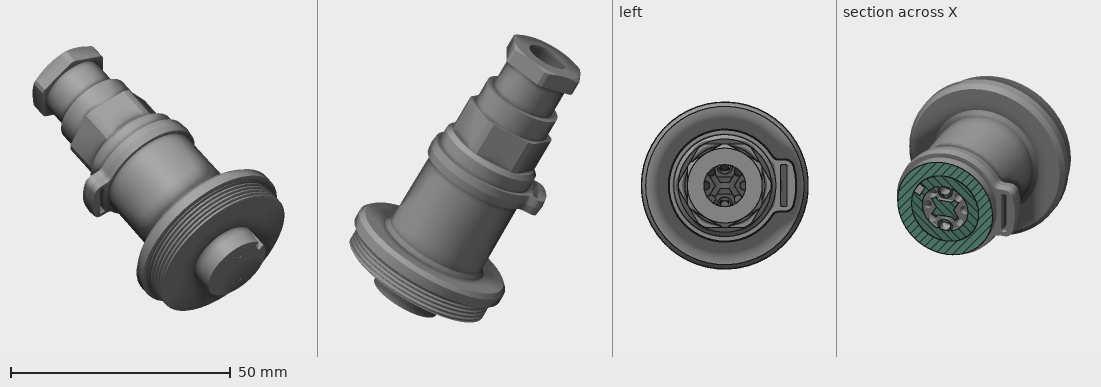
import cadquery as cq
import math


NUT_END = 3.9
NECK_END = 11.75
COLLAR_END = 17.2
HEX_END = 25.45
TAPER_START = 33.5
FLARE_START = 52.2
FLANGE_START = 53.2
FLANGE_END = 56.45
THREAD_END = 61.7

CABLE_BORE_R = 4.75
NUT_FLATS = 17.0
NUT_R = 9.5
NUT_CHAMFER = 0.45
NECK_R = 7.5
COLLAR_R = 9.1
HEX_FLATS = 19.0
HEX_R = 10.5
BODY_R = 11.6
BODY_END_R = 11.8
FLANGE_R = 19.0
EDGE_CHAMFER = 1.0
BODY_EDGE = HEX_END + EDGE_CHAMFER

THREAD_R = 17.5
THREAD_PITCH = 1.0
THREAD_DEPTH = 0.6
THREAD_RIDGE = 0.8
THREAD_CREST = 0.2
THREAD_SINK = 0.1
THREAD_OVERRUN = 0.95
ROOT_R = THREAD_R - THREAD_DEPTH

INSERT_R = 8.1
INSERT_START = BODY_EDGE
INSERT_END = 66.88
KEY_WIDTH = 2.5
KEY_FLOOR = 6.5
KEY_ANGLE = 31.0
CONTACTS = 8
CONTACT_PITCH_R = 4.45
CONTACT_R = 1.0
CONTACT_DEPTH = 4.0
CONTACT_CONE_R = 3.3
SLIT_R = 1.3
SLIT_WEB = 1.5
RIM_R = 1.8
POCKET_DEPTH = 1.5
STEP_DEPTH = 0.75
POCKET_R = 5.5
ARM_ANGLE = 58.0
END_POCKET_Z = 0.7
END_POCKET_HALF = 1.0
STEP_Z = 1.95
SIDE_POCKET_Y = 2.15

RING_START = 29.7
RING_END = TAPER_START
RING_R = 12.85
DRAFT = 0.22
TAB_R = 16.35
TAB_HALF = 6.05
TAB_ROOT_FILLET = 1.5
TAB_CORNER_FILLET = 2.2
SLOT_Y = -13.4
SLOT_WIDTH = 1.4
SLOT_LENGTH = 9.5
SLOT_FILLET = 0.3


def plane_at(x):
    """Plane across the axis: local x is +Y, local y is +Z, normal is +X."""
    return cq.Workplane("YZ", origin=(x, 0, 0))


def disc(x_start, x_end, radius):
    return plane_at(x_start).circle(radius).extrude(x_end - x_start)


def revolve_about_x(points):
    return cq.Workplane("XY").polyline(points).close().revolve(360, (0, 0, 0), (1, 0, 0))


def hexagon(x_start, x_end, across_flats, turn):
    """Hexagon with corners on Y, turned about the axis by `turn` degrees."""
    across_corners = across_flats / math.cos(math.pi / 6)
    solid = plane_at(x_start).polygon(6, across_corners).extrude(x_end - x_start)
    return solid.rotate((0, 0, 0), (1, 0, 0), turn)


def gland_nut():
    """Hexagon with flats on +/-Y, its corners rounded and its front edge bevelled."""
    rounding = revolve_about_x([
        (0, 0),
        (0, NUT_FLATS / 2),
        (NUT_CHAMFER, NUT_R),
        (NUT_END, NUT_R),
        (NUT_END, 0),
    ])
    return hexagon(0, NUT_END, NUT_FLATS, 30).intersect(rounding)


def gland_hex():
    """Hexagon with flats on +/-Z and rounded corners."""
    rounding = disc(COLLAR_END, HEX_END, HEX_R)
    return hexagon(COLLAR_END, HEX_END, HEX_FLATS, 0).intersect(rounding)


def body_and_flange():
    return revolve_about_x([
        (HEX_END, 0),
        (HEX_END, BODY_R - EDGE_CHAMFER),
        (BODY_EDGE, BODY_R),
        (TAPER_START, BODY_R),
        (FLARE_START, BODY_END_R),
        (FLANGE_START, BODY_END_R + FLANGE_START - FLARE_START),
        (FLANGE_START, FLANGE_R - EDGE_CHAMFER),
        (FLANGE_START + EDGE_CHAMFER, FLANGE_R),
        (FLANGE_END, FLANGE_R),
        (FLANGE_END, 0),
    ])


def thread():
    """Core with a right-handed helical ridge, cut square at both ends."""
    start = FLANGE_END - THREAD_OVERRUN
    height = THREAD_END + THREAD_OVERRUN - start
    base_r = ROOT_R - THREAD_SINK
    path = cq.Wire.makeHelix(THREAD_PITCH, height, base_r)
    ridge = (
        cq.Workplane("XZ")
        .moveTo(base_r, -THREAD_RIDGE / 2)
        .lineTo(THREAD_R, -THREAD_CREST / 2)
        .lineTo(THREAD_R, THREAD_CREST / 2)
        .lineTo(base_r, THREAD_RIDGE / 2)
        .close()
        .sweep(cq.Workplane(path), isFrenet=True)
    )
    core = (
        cq.Workplane("XY")
        .workplane(offset=-THREAD_OVERRUN)
        .circle(ROOT_R)
        .extrude(height + 2 * THREAD_OVERRUN)
    )
    span = (
        cq.Workplane("XY")
        .workplane(offset=THREAD_OVERRUN)
        .circle(FLANGE_R)
        .extrude(THREAD_END - FLANGE_END)
    )
    threaded = core.union(ridge).intersect(span)
    threaded = threaded.rotate((0, 0, 0), (0, 1, 0), 90)
    threaded = threaded.rotate((0, 0, 0), (1, 0, 0), 180)
    return threaded.translate((start, 0, 0))


def make_housing():
    solid = (
        body_and_flange()
        .union(gland_hex())
        .union(disc(NECK_END, COLLAR_END, COLLAR_R))
        .union(disc(NUT_END, NECK_END, NECK_R))
        .union(gland_nut())
        .union(thread())
    )
    solid = solid.cut(disc(0, INSERT_START, CABLE_BORE_R))
    return solid.cut(disc(INSERT_START, THREAD_END, INSERT_R))


def contact_recesses():
    """Ring of round recesses whose floors share one cone about the axis."""
    contacts = (
        plane_at(INSERT_START)
        .polarArray(CONTACT_PITCH_R, 0, 360, CONTACTS)
        .circle(CONTACT_R)
        .extrude(CONTACT_DEPTH)
    )
    cone = revolve_about_x([
        (INSERT_START, 0),
        (INSERT_START, CONTACT_PITCH_R + CONTACT_R),
        (INSERT_START + POCKET_DEPTH, CONTACT_PITCH_R + CONTACT_R),
        (INSERT_START + CONTACT_DEPTH, CONTACT_CONE_R),
        (INSERT_START + CONTACT_DEPTH, 0),
    ])
    return contacts.intersect(cone)


def end_pocket():
    """Stepped pocket on the +Z side, with a raised rim round its contact."""
    outer_half = END_POCKET_HALF + (POCKET_R - END_POCKET_Z) / math.tan(math.radians(ARM_ANGLE))
    outline = [
        (-END_POCKET_HALF, END_POCKET_Z),
        (END_POCKET_HALF, END_POCKET_Z),
        (outer_half, POCKET_R),
        (-outer_half, POCKET_R),
    ]
    pocket = plane_at(INSERT_START).polyline(outline).close().extrude(POCKET_DEPTH)
    step = (
        plane_at(INSERT_START + STEP_DEPTH)
        .rect(2 * POCKET_R, 2 * STEP_Z)
        .extrude(POCKET_DEPTH)
    )
    rim = plane_at(INSERT_START + STEP_DEPTH).center(0, CONTACT_PITCH_R).circle(RIM_R).extrude(POCKET_DEPTH)
    reach = disc(INSERT_START, INSERT_START + POCKET_DEPTH, POCKET_R)
    return pocket.cut(step).cut(rim).intersect(reach)


def side_pocket():
    """Wedge pocket on the +Y side, between two arms of the X-shaped wall."""
    outer_half = (POCKET_R - SIDE_POCKET_Y) * math.tan(math.radians(ARM_ANGLE))
    outline = [
        (SIDE_POCKET_Y, 0),
        (POCKET_R, outer_half),
        (POCKET_R, -outer_half),
    ]
    reach = disc(INSERT_START, INSERT_START + POCKET_DEPTH, POCKET_R)
    return plane_at(INSERT_START).polyline(outline).close().extrude(POCKET_DEPTH).intersect(reach)


def end_slits():
    """Pair of narrow slits through the insert, either side of the +Z contact."""
    length = INSERT_END - INSERT_START
    tube = (
        plane_at(INSERT_START)
        .center(0, CONTACT_PITCH_R)
        .circle(SLIT_R)
        .circle(CONTACT_R)
        .extrude(length)
    )
    web = plane_at(INSERT_START).center(0, CONTACT_PITCH_R).rect(SLIT_WEB, 2 * RIM_R).extrude(length)
    return tube.cut(web)


def keyway():
    """Square groove along the outside of the insert."""
    depth = INSERT_R - KEY_FLOOR
    groove = (
        plane_at(INSERT_START)
        .center(KEY_FLOOR + depth, 0)
        .rect(2 * depth, KEY_WIDTH)
        .extrude(INSERT_END - INSERT_START)
    )
    return groove.rotate((0, 0, 0), (1, 0, 0), KEY_ANGLE)


def make_insert():
    solid = disc(INSERT_START, INSERT_END, INSERT_R).cut(contact_recesses()).cut(keyway())
    for turn in (0, 180):
        for cutter in (end_pocket(), side_pocket(), end_slits()):
            solid = solid.cut(cutter.rotate((0, 0, 0), (1, 0, 0), turn))
    return solid


def ring_outline(plane, inset):
    """Ring and tab outline drawn on `plane`, everywhere `inset` inside its largest size."""
    ring_r = RING_R - inset
    tab_r = TAB_R - inset
    half = TAB_HALF - inset
    root = TAB_ROOT_FILLET + inset
    corner = TAB_CORNER_FILLET - inset

    root_z = half + root
    root_y = -math.sqrt((ring_r + root) ** 2 - root_z ** 2)
    on_ring = ring_r / (ring_r + root)
    touch = (root_y * on_ring, root_z * on_ring)
    root_mid_angle = (math.atan2(-root_z, -root_y) - math.pi / 2) / 2
    root_mid = (root_y + root * math.cos(root_mid_angle), root_z + root * math.sin(root_mid_angle))

    corner_z = half - corner
    corner_y = -math.sqrt((tab_r - corner) ** 2 - corner_z ** 2)
    on_tab = tab_r / (tab_r - corner)
    outer = (corner_y * on_tab, corner_z * on_tab)
    corner_mid_angle = (math.atan2(corner_z, corner_y) + math.pi / 2) / 2
    corner_mid = (
        corner_y + corner * math.cos(corner_mid_angle),
        corner_z + corner * math.sin(corner_mid_angle),
    )

    def mirrored(point):
        return (point[0], -point[1])

    return (
        plane
        .moveTo(*touch)
        .threePointArc(root_mid, (root_y, half))
        .lineTo(corner_y, half)
        .threePointArc(corner_mid, outer)
        .threePointArc((-tab_r, 0), mirrored(outer))
        .threePointArc(mirrored(corner_mid), (corner_y, -half))
        .lineTo(root_y, -half)
        .threePointArc(mirrored(root_mid), mirrored(touch))
        .threePointArc((ring_r, 0), touch)
        .close()
    )


def make_tether_ring():
    """Ring round the body with a slotted tab on the -Y side, drafted to both faces."""
    width = RING_END - RING_START
    middle = RING_START + width / 2
    front_half = ring_outline(ring_outline(plane_at(RING_START), DRAFT).workplane(offset=width / 2), 0)
    front_half = front_half.loft(ruled=True)
    back_half = front_half.mirror("YZ", (middle, 0, 0))
    slot = (
        plane_at(RING_START)
        .center(SLOT_Y, 0)
        .rect(SLOT_WIDTH, SLOT_LENGTH)
        .extrude(width)
        .edges("|X")
        .fillet(SLOT_FILLET)
    )
    return front_half.union(back_half).cut(disc(RING_START, RING_END, BODY_R)).cut(slot)


housing = make_housing()
insert = make_insert()
tether_ring = make_tether_ring()

result = cq.Compound.makeCompound([
    housing.solids().val(),
    insert.solids().val(),
    tether_ring.solids().val(),
])